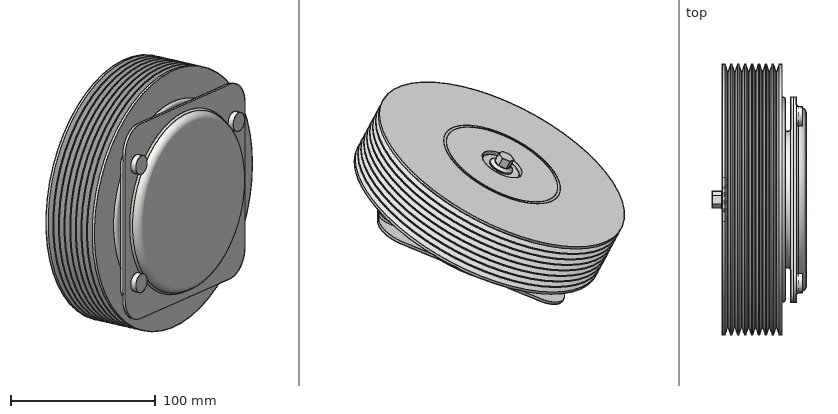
import cadquery as cq
import math


pulley_radius = 93.6
pulley_width = 41.4
groove_count = 8
end_groove_x = 4.0
groove_depth = 5.0
groove_mouth = 4.0
groove_floor = 0.5
recess_radius = 15.2
recess_depth = 2.0
recess_ring_inner = 14.0
recess_ring_depth = 1.3
face_ring_outer = 44.5
face_ring_inner = 42.5
face_ring_depth = 0.2

hex_across_flats = 10.1
hex_tip_x = -7.0
collar_radius = 8.6
collar_rim_width = 1.0
collar_top_radius = 5.8
collar_top_x = -0.5

rim_radius = 71.0
rim_width = 2.5
rim_round = 2.0
neck_radius = 47.4
neck_flare = 1.7
front_plate_x = 47.4
front_plate_thickness = 1.9
front_plate_side_height = 104.1
front_plate_crown_height = 112.8
front_plate_corner_radius = 7.1

rear_plate_thickness = 2.0
rear_plate_size = 142.0
rear_plate_corner_radius = 18.2
cap_foot_radius = 65.7
cap_foot_width = 1.5
cap_wall_radius = 64.5
cap_shoulder_radius = 63.7
cap_wall_length = 3.7
cap_length = 7.0
cap_face_radius = 60.1

screw_offset_y = 57.7
screw_offset_z = 43.0
screw_head_radius = 6.7
screw_head_height = 4.3

groove_pitch = (pulley_width - 2 * end_groove_x) / (groove_count - 1)
rear_plate_x = front_plate_x + front_plate_thickness
cap_x = rear_plate_x + rear_plate_thickness
front_plate_width = rear_plate_size


def disc(radius, x_start, length):
    """Solid cylinder along X."""
    return cq.Workplane("YZ", origin=(x_start, 0, 0)).circle(radius).extrude(length)


def ring(outer_radius, inner_radius, x_start, length):
    """Plain ring along X."""
    return disc(outer_radius, x_start, length).cut(disc(inner_radius, x_start, length))


def revolve_about_x(profile):
    """Turn a closed (x, radius) profile a full turn about the X axis."""
    return profile.close().revolve(360, (0, 0, 0), (1, 0, 0))


def make_pulley():
    """Solid multi-groove pulley with a recess for the centre bolt."""
    groove_root_radius = pulley_radius - groove_depth
    profile = cq.Workplane("XY").moveTo(0, 0).lineTo(0, pulley_radius)
    for i in range(groove_count):
        groove_x = end_groove_x + i * groove_pitch
        profile = profile.lineTo(groove_x - groove_mouth / 2, pulley_radius)
        profile = profile.lineTo(groove_x - groove_floor / 2, groove_root_radius)
        profile = profile.lineTo(groove_x + groove_floor / 2, groove_root_radius)
        profile = profile.lineTo(groove_x + groove_mouth / 2, pulley_radius)
    pulley = revolve_about_x(profile.lineTo(pulley_width, pulley_radius).lineTo(pulley_width, 0))

    pulley = pulley.cut(disc(recess_radius, 0, recess_depth))
    pulley = pulley.cut(ring(recess_radius, recess_ring_inner, recess_depth, recess_ring_depth))
    return pulley.cut(ring(face_ring_outer, face_ring_inner, 0, face_ring_depth))


def make_centre_bolt():
    """Hexagon head on a low conical collar that stands on the recess floor."""
    collar = revolve_about_x(
        cq.Workplane("XY")
        .moveTo(recess_depth, 0)
        .lineTo(recess_depth, collar_radius)
        .lineTo(recess_depth - collar_rim_width, collar_radius)
        .lineTo(collar_top_x, collar_top_radius)
        .lineTo(collar_top_x, 0)
    )
    hex_across_corners = hex_across_flats / math.cos(math.radians(30))
    head = (
        cq.Workplane("YZ", origin=(hex_tip_x, 0, 0))
        .polygon(6, hex_across_corners)
        .extrude(recess_depth - hex_tip_x)
    )
    return collar.union(head)


def make_neck():
    """Rounded rim against the pulley, then a neck that flares into the front plate."""
    rim = disc(rim_radius, pulley_width, rim_width).faces(">X").edges().fillet(rim_round)
    flare_start_x = front_plate_x - neck_flare
    arc_mid = neck_flare * math.sin(math.radians(45))
    neck = revolve_about_x(
        cq.Workplane("XY")
        .moveTo(pulley_width, 0)
        .lineTo(pulley_width, neck_radius)
        .lineTo(flare_start_x, neck_radius)
        .threePointArc(
            (flare_start_x + arc_mid, neck_radius + neck_flare - arc_mid),
            (front_plate_x, neck_radius + neck_flare),
        )
        .lineTo(front_plate_x, 0)
    )
    return rim.union(neck)


def make_front_plate():
    """Plate with straight sides, crowned top and bottom edges and rounded corners."""
    half_width = front_plate_width / 2
    half_side = front_plate_side_height / 2
    half_crown = front_plate_crown_height / 2
    plate = (
        cq.Workplane("YZ", origin=(front_plate_x, 0, 0))
        .moveTo(-half_width, half_side)
        .threePointArc((0, half_crown), (half_width, half_side))
        .lineTo(half_width, -half_side)
        .threePointArc((0, -half_crown), (-half_width, -half_side))
        .close()
        .extrude(front_plate_thickness)
    )
    return plate.edges("|X").fillet(front_plate_corner_radius)


def make_front_housing():
    """Neck and front plate in one piece."""
    return make_neck().union(make_front_plate())


def make_rear_plate():
    """Square plate with rounded corners."""
    plate = (
        cq.Workplane("YZ", origin=(rear_plate_x, 0, 0))
        .rect(rear_plate_size, rear_plate_size)
        .extrude(rear_plate_thickness)
    )
    return plate.edges("|X").fillet(rear_plate_corner_radius)


def make_cap():
    """Closed cap with a sloped foot, a slightly tapered wall and a rounded shoulder."""
    cap_end_x = cap_x + cap_length
    return revolve_about_x(
        cq.Workplane("XY")
        .moveTo(cap_x, 0)
        .lineTo(cap_x, cap_foot_radius)
        .lineTo(cap_x + cap_foot_width, cap_wall_radius)
        .lineTo(cap_x + cap_wall_length, cap_shoulder_radius)
        .tangentArcPoint((cap_end_x, cap_face_radius), relative=False)
        .lineTo(cap_end_x, 0)
    )


def make_rear_housing():
    """Rear plate and cap in one piece."""
    return make_rear_plate().union(make_cap())


def make_screw_head(y, z):
    """Round screw head standing on the rear plate."""
    return disc(screw_head_radius, cap_x, screw_head_height).translate((0, y, z))


pulley = make_pulley()
centre_bolt = make_centre_bolt()
front_housing = make_front_housing()
rear_housing = make_rear_housing()

screw_corners = [(-1, -1), (-1, 1), (1, 1)]
screw_heads = []
for side_y, side_z in screw_corners:
    screw_head = make_screw_head(side_y * screw_offset_y, side_z * screw_offset_z)
    screw_heads.append(screw_head.cut(rear_housing))

result = cq.Compound.makeCompound(
    [
        pulley.val(),
        centre_bolt.val(),
        front_housing.val(),
        rear_housing.val(),
        *[head.val() for head in screw_heads],
    ]
)